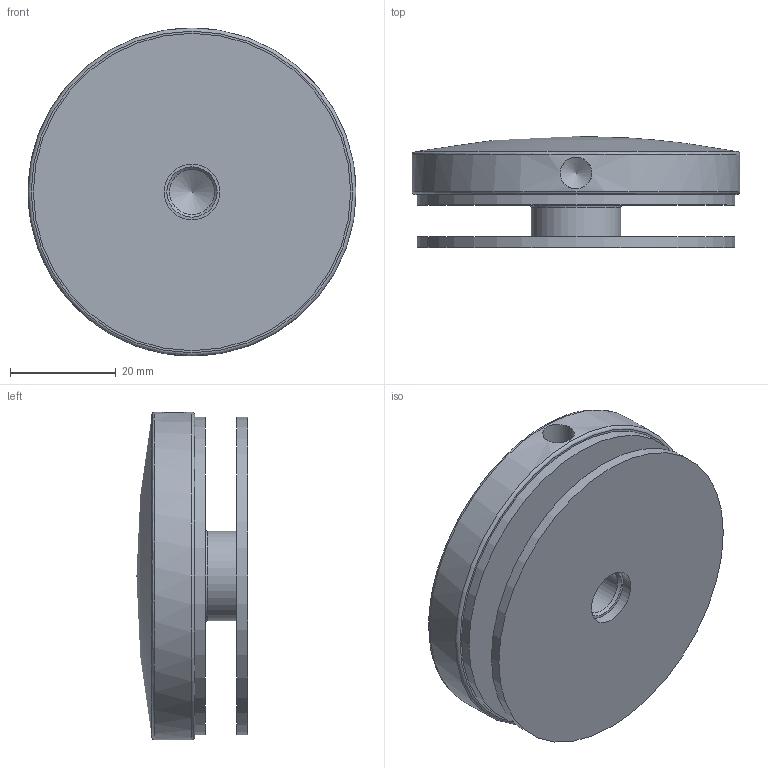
import cadquery as cq
import math


plate_radius = 30.0
plate_thickness = 2.0
washer_bore_radius = 5.25

gap_length = 6.0
hub_radius = 8.5
hub_root_fillet = 0.4
flange_start = plate_thickness + gap_length
flange_end = flange_start + plate_thickness

cap_radius = 31.0
cap_rim_end = 18.0
cap_edge_round = 0.6
cap_top = 21.0

bore_radius = 4.25
bore_chamfer = 0.5
bore_end = 14.0

spanner_radius = 3.0
spanner_depth = 10.0
spanner_y = (flange_end + cap_rim_end) / 2

drill_half_angle = math.radians(59)


def turned(profile):
    """Revolve a closed (radius, y) profile about the Y axis."""
    return profile.revolve(360, (0, 0, 0), (0, 1, 0))


def drill(radius, depth):
    """Drilled blind hole along +Y from y = 0, with a conical tip beyond its full-width depth."""
    tip_length = radius / math.tan(drill_half_angle)
    outline = [(0, 0), (radius, 0), (radius, depth), (0, depth + tip_length)]
    return turned(cq.Workplane("XY").polyline(outline).close())


def make_washer():
    outline = (
        cq.Workplane("XY")
        .moveTo(washer_bore_radius, 0)
        .lineTo(plate_radius, 0)
        .lineTo(plate_radius, plate_thickness)
        .lineTo(washer_bore_radius, plate_thickness)
        .close()
    )
    return turned(outline)


def make_bush():
    mouth_radius = bore_radius + bore_chamfer
    outline = (
        cq.Workplane("XY")
        .moveTo(mouth_radius, plate_thickness)
        .lineTo(hub_radius, plate_thickness)
        .lineTo(hub_radius, flange_start - hub_root_fillet)
        .radiusArc((hub_radius + hub_root_fillet, flange_start), hub_root_fillet)
        .lineTo(plate_radius, flange_start)
        .lineTo(plate_radius, flange_end)
        .lineTo(bore_radius, flange_end)
        .lineTo(bore_radius, plate_thickness + bore_chamfer)
        .close()
    )
    return turned(outline)


def make_cap():
    dome_height = cap_top - cap_rim_end
    dome_radius = (cap_radius**2 + dome_height**2) / (2 * dome_height)
    outline = (
        cq.Workplane("XY")
        .moveTo(0, flange_end)
        .lineTo(cap_radius, flange_end)
        .lineTo(cap_radius, cap_rim_end)
        .radiusArc((0, cap_top), -dome_radius)
        .close()
    )
    blank = turned(outline).edges("%CIRCLE").fillet(cap_edge_round)
    rod_bore = drill(bore_radius, bore_end)
    spanner_hole = (
        drill(spanner_radius, spanner_depth)
        .rotate((0, 0, 0), (1, 0, 0), -90)
        .translate((0, spanner_y, cap_radius))
    )
    return blank.cut(rod_bore).cut(spanner_hole)


washer = make_washer()
bush = make_bush()
cap = make_cap()

result = cq.Compound.makeCompound([washer.val(), bush.val(), cap.val()])